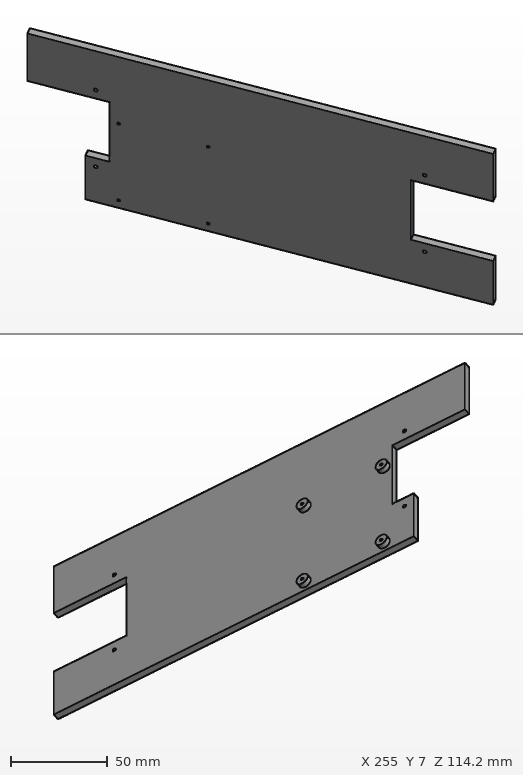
import cadquery as cq

PLATE_LENGTH = 255.0
PLATE_HEIGHT = 114.25
PLATE_THICKNESS = 4.0

NOTCH_DEPTH = 45.0
UPPER_ARM_HEIGHT = 36.0
LOWER_ARM_HEIGHT = 33.25
LOWER_LEFT_SETBACK = 31.75

STANDOFF_DIAMETER = 7.0
STANDOFF_HEIGHT = 3.0
PILOT_DIAMETER = 1.5
STANDOFF_PITCH_X = 49.0
STANDOFF_FROM_LEFT = 50.0
STANDOFF_FROM_BOTTOM = 5.75

MOUNT_HOLE_DIAMETER = 2.0
MOUNT_PITCH_X = 180.0
MOUNT_FROM_BOTTOM = 26.75

ROW_PITCH_Z = 58.0

LEFT = -PLATE_LENGTH / 2
RIGHT = PLATE_LENGTH / 2
BOTTOM = -PLATE_HEIGHT / 2
TOP = PLATE_HEIGHT / 2
TOTAL_DEPTH = PLATE_THICKNESS + STANDOFF_HEIGHT
FRONT_Y = -TOTAL_DEPTH / 2
REAR_Y = FRONT_Y + PLATE_THICKNESS


def grid(left_x, pitch_x, bottom_z):
    """Four (x, z) points: two columns by two rows."""
    columns = (left_x, left_x + pitch_x)
    rows = (bottom_z, bottom_z + ROW_PITCH_Z)
    return [(x, z) for x in columns for z in rows]


def rods(points, diameter, start_y, length):
    """Cylinders along +Y from start_y, one at each (x, z) point."""
    plane = cq.Workplane("XZ").workplane(offset=-start_y)
    return plane.pushPoints(points).circle(diameter / 2).extrude(-length)


def plate():
    notch_top = TOP - UPPER_ARM_HEIGHT
    notch_bottom = BOTTOM + LOWER_ARM_HEIGHT
    notch_left = LEFT + NOTCH_DEPTH
    notch_right = RIGHT - NOTCH_DEPTH
    lower_left = LEFT + LOWER_LEFT_SETBACK
    outline = [
        (LEFT, TOP),
        (RIGHT, TOP),
        (RIGHT, notch_top),
        (notch_right, notch_top),
        (notch_right, notch_bottom),
        (RIGHT, notch_bottom),
        (RIGHT, BOTTOM),
        (lower_left, BOTTOM),
        (lower_left, notch_bottom),
        (notch_left, notch_bottom),
        (notch_left, notch_top),
        (LEFT, notch_top),
    ]
    plane = cq.Workplane("XZ").workplane(offset=-FRONT_Y)
    return plane.polyline(outline).close().extrude(-PLATE_THICKNESS)


standoff_points = grid(LEFT + STANDOFF_FROM_LEFT, STANDOFF_PITCH_X, BOTTOM + STANDOFF_FROM_BOTTOM)
mount_points = grid(-MOUNT_PITCH_X / 2, MOUNT_PITCH_X, BOTTOM + MOUNT_FROM_BOTTOM)

standoffs = rods(standoff_points, STANDOFF_DIAMETER, REAR_Y, STANDOFF_HEIGHT)
pilot_holes = rods(standoff_points, PILOT_DIAMETER, FRONT_Y, TOTAL_DEPTH)
mount_holes = rods(mount_points, MOUNT_HOLE_DIAMETER, FRONT_Y, PLATE_THICKNESS)

result = plate().union(standoffs).cut(pilot_holes).cut(mount_holes)